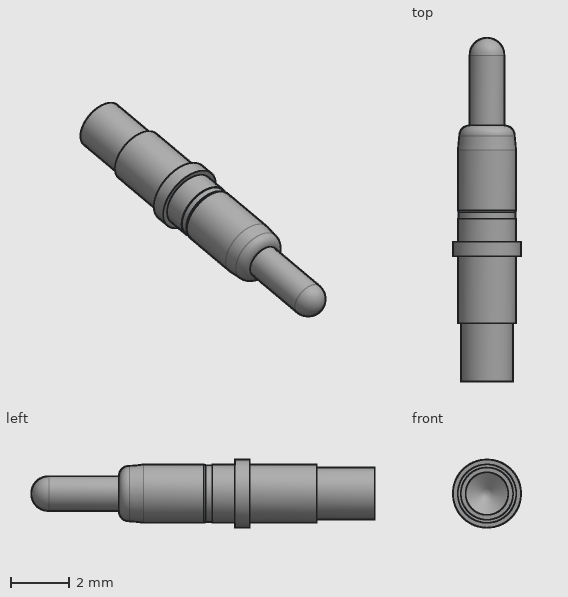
import cadquery as cq
import math

total_length = 11.8
rear_y = -total_length / 2

plunger_radius = 0.6
nose_round = 0.35
body_radius = 1.0
collar_radius = plunger_radius + nose_round
groove_radius = 0.98
flange_radius = 2.35 / 2
cup_radius = 0.9
bore_radius = 0.73

cup_length = 2.0
flange_start = 4.3
flange_width = 0.51
groove_start = 5.58
groove_flat = 0.22
groove_ramp = 0.07
taper_start = 7.95
taper_length = 0.48

bore_depth = 2.0
drill_point_angle = 118.0

flange_end = flange_start + flange_width
groove_flat_end = groove_start + groove_flat
groove_end = groove_flat_end + groove_ramp
nose_start = taper_start + taper_length
nose_end = nose_start + nose_round
tip_start = total_length - plunger_radius
drill_point_length = bore_radius / math.tan(math.radians(drill_point_angle / 2))

diagonal = math.sqrt(0.5)
nose_middle = (plunger_radius + nose_round * diagonal, nose_start + nose_round * diagonal)
tip_middle = (plunger_radius * diagonal, tip_start + plunger_radius * diagonal)

half_section = (
    cq.Workplane("XY")
    .moveTo(0, bore_depth + drill_point_length)
    .lineTo(bore_radius, bore_depth)
    .lineTo(bore_radius, 0)
    .lineTo(cup_radius, 0)
    .lineTo(cup_radius, cup_length)
    .lineTo(body_radius, cup_length)
    .lineTo(body_radius, flange_start)
    .lineTo(flange_radius, flange_start)
    .lineTo(flange_radius, flange_end)
    .lineTo(body_radius, flange_end)
    .lineTo(body_radius, groove_start)
    .lineTo(groove_radius, groove_start)
    .lineTo(groove_radius, groove_flat_end)
    .lineTo(body_radius, groove_end)
    .lineTo(body_radius, taper_start)
    .lineTo(collar_radius, nose_start)
    .threePointArc(nose_middle, (plunger_radius, nose_end))
    .lineTo(plunger_radius, tip_start)
    .threePointArc(tip_middle, (0, total_length))
    .close()
)

result = half_section.revolve(360, (0, 0, 0), (0, 1, 0)).translate((0, rear_y, 0))